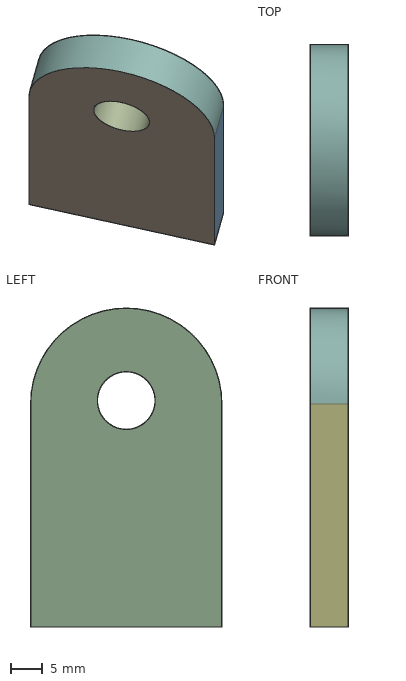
import cadquery as cq

thickness = 6.0
width = 30.0
height = 50.0
hole_diameter = 9.0
hole_height = 35.5

half_width = width / 2
shoulder_height = height - half_width

side_face = cq.Workplane("YZ", origin=(-thickness / 2, 0, 0))

plate = (
    side_face
    .moveTo(-half_width, 0)
    .lineTo(half_width, 0)
    .lineTo(half_width, shoulder_height)
    .threePointArc((0, height), (-half_width, shoulder_height))
    .close()
    .extrude(thickness)
)

hole = (
    side_face
    .center(0, hole_height)
    .circle(hole_diameter / 2)
    .extrude(thickness)
)

result = plate.cut(hole)